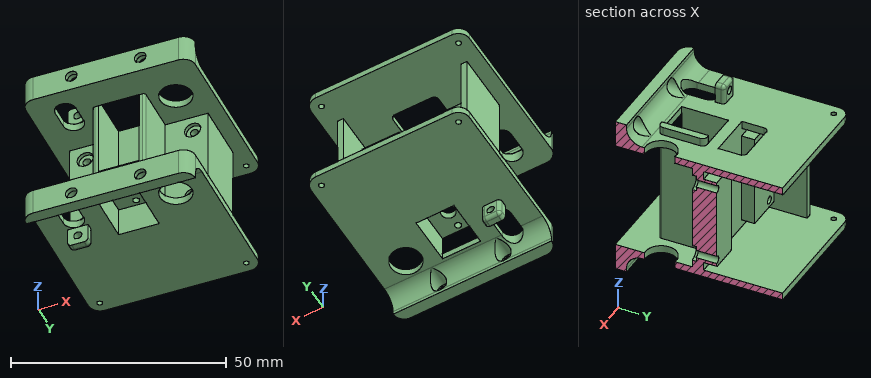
import cadquery as cq

WIDTH = 42.55
DEPTH = 43.5
HEIGHT = 41.8
FRONT = -DEPTH / 2

PLATE = 2.0
FLANGE_RISE = 5.0
FLANGE_THICKNESS = 3.0
CORNER_RADIUS = 3.0
FLANGE_FILLET = 4.0
DECK_OUTER = HEIGHT / 2 - FLANGE_RISE
DECK_INNER = DECK_OUTER - PLATE
FLANGE_BACK = FRONT + FLANGE_THICKNESS

FLANGE_HOLE = 2.85
FLANGE_HOLE_X = 8.65
FLANGE_HOLE_DROP = 3.0
HEAD_DIAMETER = 4.0
FLANGE_SEAT_DEPTH = 1.17

CORNER_HOLE = 1.3
CORNER_HOLE_INSET = 2.85

OPENING_X = 12.8
ROUND_OPENING = 7.9
ROUND_OPENING_Y = -10.2
SLOT_WIDTH = 5.15
SLOT_FRONT = FRONT + 4.05
SLOT_BACK = -7.85

TAB_THICKNESS = 2.5
TAB_CORNER = 1.0
TAB_BACK_ROUND = 0.95
TAB_HOLE = 2.0

TOWER_FRONT = FRONT + 7.87
TOWER_BACK = FRONT + 20.0
TOWER_INSIDE = 10.2
TOWER_WALL = 1.52
TOWER_EDGE_ROUND = 0.6
TOWER_DEPTH = TOWER_BACK - TOWER_FRONT
TOWER_MIDDLE = (TOWER_FRONT + TOWER_BACK) / 2

SHELF_TOP = -6.2
SHELF_THICKNESS = 2.1
SHAFT_HOLE = 3.6
MOTOR_SCREW_HOLE = 1.6
MOTOR_SCREW_SPACING = 9.0

EAR_THICKNESS = 1.9
EAR_RISE = 2.1
EAR_CORNER = 1.2

HOUSING_WIDTH = 34.7
HOUSING_BACK = FRONT + 35.0
HOUSING_FRONT_WALL = 3.0
HOUSING_SIDE_WALL = 1.52
HOUSING_INNER_FRONT = TOWER_BACK + HOUSING_FRONT_WALL
HOUSING_SCREW_X = 13.5
HOUSING_SCREW_Z = 10.0
HOUSING_SCREW_HOLE = 1.9
HOUSING_HEAD_DEPTH = 1.0

RAIL_GAP = 11.75
RAIL_DEPTH = 3.4
RAIL_END_CLEARANCE = 2.0

WINDOW_WIDTH = 12.2
WINDOW_DEPTH = 6.9
WINDOW_CORNER = 1.2


def block(x_range, y_range, z_range):
    """Box between the given limits along each axis."""
    sizes = [high - low for low, high in (x_range, y_range, z_range)]
    corner = (x_range[0], y_range[0], z_range[0])
    return cq.Workplane("XY").box(*sizes, centered=False).translate(corner)


def rod_y(diameter, x, z, y_start, y_end):
    """Cylinder along Y from y_start to y_end."""
    plane = cq.Workplane("XZ", origin=(x, y_start, z))
    return plane.circle(diameter / 2).extrude(y_start - y_end)


def make_deck():
    """Upper deck plate with its flange, tab and the openings shared by both decks."""
    top = HEIGHT / 2
    profile = (
        cq.Workplane("YZ", origin=(-WIDTH / 2, 0, 0))
        .moveTo(FRONT, DECK_INNER)
        .lineTo(-FRONT, DECK_INNER)
        .lineTo(-FRONT, DECK_OUTER)
        .lineTo(FLANGE_BACK + FLANGE_FILLET, DECK_OUTER)
        .radiusArc((FLANGE_BACK, DECK_OUTER + FLANGE_FILLET), FLANGE_FILLET)
        .lineTo(FLANGE_BACK, top)
        .lineTo(FRONT, top)
        .close()
    )
    outline = cq.Workplane("XY").rect(WIDTH, DEPTH).extrude(HEIGHT).edges("|Z").fillet(CORNER_RADIUS)
    deck = profile.extrude(WIDTH).intersect(outline)

    hole_z = top - FLANGE_HOLE_DROP
    for x in (-FLANGE_HOLE_X, FLANGE_HOLE_X):
        deck = deck.cut(rod_y(FLANGE_HOLE, x, hole_z, FRONT, FLANGE_BACK))
        deck = deck.cut(rod_y(HEAD_DIAMETER, x, hole_z, FRONT + FLANGE_SEAT_DEPTH, TOWER_FRONT))

    cutter = cq.Workplane("XY", origin=(0, 0, DECK_INNER))
    corner_x = WIDTH / 2 - CORNER_HOLE_INSET
    corner_y = DEPTH / 2 - CORNER_HOLE_INSET
    corner_holes = cutter.pushPoints([(-corner_x, corner_y), (corner_x, corner_y)])
    deck = deck.cut(corner_holes.circle(CORNER_HOLE / 2).extrude(PLATE))
    deck = deck.cut(cutter.center(OPENING_X, ROUND_OPENING_Y).circle(ROUND_OPENING / 2).extrude(PLATE))
    slot = cutter.center(-OPENING_X, (SLOT_FRONT + SLOT_BACK) / 2)
    slot = slot.slot2D(SLOT_BACK - SLOT_FRONT, SLOT_WIDTH, angle=90)
    deck = deck.cut(slot.extrude(HEIGHT))
    return deck.union(make_tab())


def make_tab():
    """Drilled tab standing on the upper deck, with rounded top corners and back edges."""
    left = -OPENING_X - SLOT_WIDTH / 2
    back = SLOT_BACK + TAB_THICKNESS
    tab = block((left, left + SLOT_WIDTH), (SLOT_BACK, back), (DECK_OUTER, HEIGHT / 2))
    tab = tab.edges("|Y and >Z").fillet(TAB_CORNER)
    tab = tab.faces(">Y").edges("not <Z").fillet(TAB_BACK_ROUND)
    hole_z = (DECK_OUTER + HEIGHT / 2) / 2
    return tab.cut(rod_y(TAB_HOLE, -OPENING_X, hole_z, SLOT_BACK, back))


def make_housing():
    """Box open to the back, with screw rails and counterbored holes in its front wall."""
    half = HOUSING_WIDTH / 2
    inner_half = half - HOUSING_SIDE_WALL
    height = (-DECK_INNER, DECK_INNER)
    housing = block((-half, half), (TOWER_BACK, HOUSING_BACK), height)
    housing = housing.cut(block((-inner_half, inner_half), (HOUSING_INNER_FRONT, HOUSING_BACK), height))

    rail_back = HOUSING_INNER_FRONT + RAIL_DEPTH
    rail_end = DECK_INNER - RAIL_END_CLEARANCE
    rail = block((RAIL_GAP / 2, inner_half), (HOUSING_INNER_FRONT, rail_back), (-rail_end, rail_end))
    housing = housing.union(rail).union(rail.mirror("YZ"))

    for x in (-HOUSING_SCREW_X, HOUSING_SCREW_X):
        for z in (-HOUSING_SCREW_Z, HOUSING_SCREW_Z):
            housing = housing.cut(rod_y(HOUSING_SCREW_HOLE, x, z, TOWER_BACK, rail_back))
            housing = housing.cut(rod_y(HEAD_DIAMETER, x, z, TOWER_BACK, TOWER_BACK + HOUSING_HEAD_DEPTH))
    return housing


def make_tower():
    """Solid tower body with its outer front edges rounded."""
    half = TOWER_INSIDE / 2 + TOWER_WALL
    tower = block((-half, half), (TOWER_FRONT, TOWER_BACK), (-DECK_INNER, DECK_INNER))
    return tower.edges("|Z and <Y").fillet(TOWER_EDGE_ROUND)


def make_ear():
    """Ear rising above the upper deck, with its outer vertical edges rounded."""
    inner = TOWER_INSIDE / 2
    ear = block(
        (inner, inner + EAR_THICKNESS),
        (TOWER_FRONT, TOWER_BACK),
        (DECK_OUTER, DECK_OUTER + EAR_RISE),
    )
    return ear.edges("|Z and >X").fillet(EAR_CORNER)


def make_shelf():
    """Motor shelf with a shaft hole and two screw holes."""
    bottom = SHELF_TOP - SHELF_THICKNESS
    plane = cq.Workplane("XY", origin=(0, TOWER_MIDDLE, bottom))
    shelf = plane.rect(TOWER_INSIDE, TOWER_DEPTH).extrude(SHELF_THICKNESS)
    shelf = shelf.cut(plane.circle(SHAFT_HOLE / 2).extrude(SHELF_THICKNESS))
    screws = plane.rarray(0.45, MOTOR_SCREW_SPACING, 1, 2).circle(MOTOR_SCREW_HOLE / 2)
    return shelf.cut(screws.extrude(SHELF_THICKNESS))


upper_deck = make_deck()
result = upper_deck.union(upper_deck.mirror("XY")).union(make_housing()).union(make_tower())

bay_half = TOWER_INSIDE / 2
bay = block((-bay_half, bay_half), (TOWER_FRONT, TOWER_BACK), (-DECK_OUTER, DECK_OUTER))
result = result.cut(bay).union(make_shelf()).union(make_ear())

window = block(
    (-WINDOW_WIDTH / 2, WINDOW_WIDTH / 2),
    (HOUSING_INNER_FRONT, HOUSING_INNER_FRONT + WINDOW_DEPTH),
    (DECK_INNER, DECK_OUTER),
)
result = result.cut(window.edges("|Z and >Y").fillet(WINDOW_CORNER))